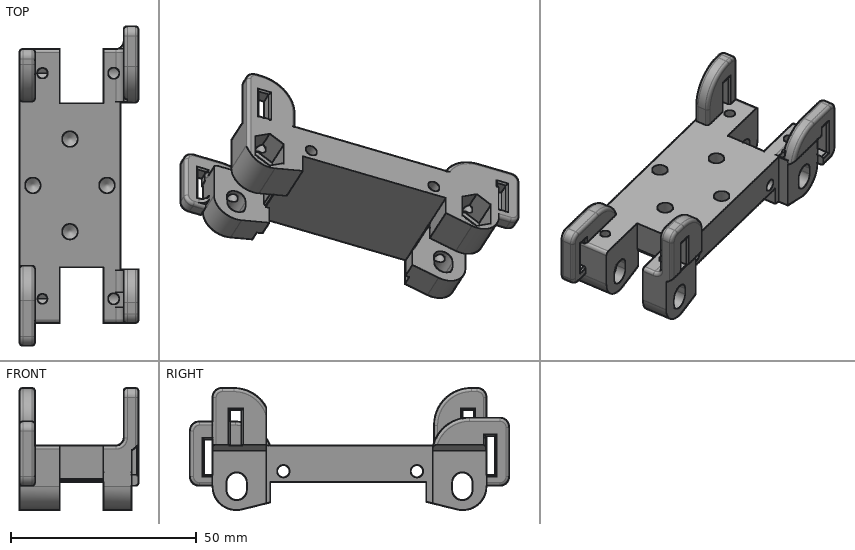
import cadquery as cq
import math


length = 86.1
plate_width = 27.3
plate_top = 17.5
plate_bottom = 7.6
plate_center_y = 0.2
notch_half_span = 22.1
notch_left = 10.9
notch_right = 22.65
notch_relief_depth = 0.5
notch_relief_top = 8.5
top_edge_round = 0.95

mount_hole_diameter = 4.2
mount_hole_depth = 6.9
mount_spacing_x = 10.0
mount_spacing_y = 12.5
mount_center_x = 13.6
drill_tip_angle = 118.0
side_hole_diameter = 3.3
side_hole_half_span = 18.0
side_hole_z = 10.5

leg_out = 36.95
leg_round = 6.5
leg_right = 30.2
leg_bottom_slope = 14.0
leg_start_out = {1: 20.7, -1: 21.4}
flank_step_out = 22.4

bolt_out = 30.4
bolt_z = leg_round
bolt_stretch = 2.0
bolt_slot_width = 5.4
nut_across_flats = 8.35
nut_pocket_depth = 8.0
lock_hole_left_x = 6.2
lock_hole_right_x = 25.4
lock_hole_left_diameter = {1: 2.8, -1: 2.7}
lock_hole_right_diameter = 3.0

total_width = 32.1
total_height = 33.0
left_tab_thickness = 4.2
right_tab_inner = 28.1
tab_arc_radius = 10.1
tab_corner_radius = 2.6
tab_edge_round = 0.95
long_tab_bottom = 6.55
long_tab_slot_bottom = 9.0
long_tab_slot_inner = 36.2
long_tab_slot_outer = 39.7
tab_slot_rim = 0.5
tall_tab_slot_top = 27.5
tall_tab_slot_width = 4.0
tab_underside_low = 16.0
tab_underside_high = 17.65
root_fillet = 2.1
root_start_out = 22.7

tall_left_inner = 22.7
tall_left_slot = 31.95
tall_right_inner = 21.2
tall_right_slot = 30.7
long_left_inner = 20.75
long_left_top = 23.9
long_left_slot_top = 19.5
long_right_inner = 22.2
long_right_top = 25.0
long_right_slot_top = 20.4


def box(x0, x1, y0, y1, z0, z1):
    """Box between two opposite corners."""
    corner = cq.Workplane("XY", origin=(x0, y0, z0))
    return corner.box(x1 - x0, y1 - y0, z1 - z0, centered=False)


def side_sketch(x):
    """Workplane with local X along Y and local Y along Z, extruding toward +X."""
    return cq.Workplane("YZ", origin=(x, 0, 0))


def at_end(solid, end):
    """Place a solid drawn at the +Y end at the given end."""
    return solid if end > 0 else solid.mirror("XZ")


def make_plate():
    low_y = plate_center_y - notch_half_span
    high_y = plate_center_y + notch_half_span
    plate = box(0, plate_width, low_y, high_y, plate_bottom, plate_top)
    for floor_y, inward in ((low_y, 1), (high_y, -1)):
        relief = (
            side_sketch(notch_left)
            .moveTo(floor_y, notch_relief_top)
            .lineTo(floor_y + inward * notch_relief_depth, notch_relief_top - notch_relief_depth)
            .lineTo(floor_y + inward * notch_relief_depth, plate_bottom)
            .lineTo(floor_y, plate_bottom)
            .close()
            .extrude(notch_right - notch_left)
        )
        plate = plate.cut(relief)
    return plate


def make_leg(x0, x1, start_out):
    """Leg with a rounded outer foot and a tangent sloping underside."""
    slope = math.radians(leg_bottom_slope)
    center_out = leg_out - leg_round
    tangent_out = center_out - leg_round * math.sin(slope)
    tangent_z = leg_round * (1 - math.cos(slope))
    start_z = tangent_z + (tangent_out - start_out) * math.tan(slope)
    return (
        side_sketch(x0)
        .moveTo(start_out, plate_top)
        .lineTo(start_out, start_z)
        .lineTo(tangent_out, tangent_z)
        .radiusArc((leg_out, leg_round), -leg_round)
        .lineTo(leg_out, plate_top)
        .close()
        .extrude(x1 - x0)
        .edges(">Y and >Z")
        .fillet(top_edge_round)
    )


def make_tab(x0, x1, inner, outer, bottom, top):
    """Upright tab with a large arc on its inner shoulder and all outline edges rounded."""
    outline = (
        side_sketch(x0)
        .moveTo(inner, bottom)
        .lineTo(inner, top - tab_arc_radius)
        .radiusArc((inner + tab_arc_radius, top), tab_arc_radius)
        .lineTo(outer, top)
        .lineTo(outer, bottom)
        .close()
        .extrude(x1 - x0)
    )
    rounded = outline.edges("|X and >Y").fillet(tab_corner_radius)
    return rounded.faces("<X or >X").edges().fillet(tab_edge_round)


def make_strap_slot(x0, x1, y0, y1, z0, z1):
    """Cutter for a slot through a tab, flared at both faces."""
    rim = tab_slot_rim
    slot = box(x0, x1, y0 + rim, y1 - rim, z0 + rim, z1 - rim)
    for face_x, direction in ((x0, 1), (x1, -1)):
        flare = (
            side_sketch(face_x)
            .center((y0 + y1) / 2, (z0 + z1) / 2)
            .rect(y1 - y0, z1 - z0)
            .workplane(offset=direction * rim)
            .rect(y1 - y0 - 2 * rim, z1 - z0 - 2 * rim)
            .loft(combine=True)
        )
        slot = slot.union(flare)
    return slot


def make_long_tab(x0, x1, inner, top, slot_top):
    """Tab reaching past the leg, with its strap slot just outside the leg's end."""
    tab = make_tab(x0, x1, inner, length / 2, long_tab_bottom, top)
    slot = make_strap_slot(
        x0, x1, long_tab_slot_inner, long_tab_slot_outer, long_tab_slot_bottom, slot_top
    )
    return tab.cut(slot)


def make_right_root(start_out):
    """Block on the right leg's top that curves up into the tab, with a rounded outer end."""
    crest_z = plate_top + root_fillet
    block = (
        cq.Workplane("XZ", origin=(0, leg_out, 0))
        .moveTo(notch_right, plate_bottom)
        .lineTo(notch_right, plate_top)
        .lineTo(right_tab_inner - root_fillet, plate_top)
        .radiusArc((right_tab_inner, crest_z), -root_fillet)
        .lineTo(right_tab_inner + tab_edge_round, crest_z)
        .lineTo(right_tab_inner + tab_edge_round, plate_bottom)
        .close()
        .extrude(leg_out - start_out)
    )
    margin = 0.1
    end_rim = cq.selectors.BoxSelector(
        (notch_right, leg_out - margin, plate_top - margin),
        (right_tab_inner - margin, leg_out + margin, crest_z),
    )
    return block.edges(end_rim).fillet(top_edge_round)


def make_underside_cut(inner, outer):
    """Space below the overhanging part of a right tab, bounded above by a slope."""
    return (
        cq.Workplane("XZ", origin=(0, outer, 0))
        .moveTo(leg_right, 0)
        .lineTo(leg_right, tab_underside_low)
        .lineTo(total_width, tab_underside_high)
        .lineTo(total_width, 0)
        .close()
        .extrude(outer - inner)
    )


def make_tall_tab(x0, x1, inner, slot_center):
    """Tab standing above the leg; the leg fills the lower flare of its strap slot."""
    tab = make_tab(x0, x1, inner, leg_out, long_tab_bottom, total_height)
    half_width = tall_tab_slot_width / 2
    slot = make_strap_slot(
        x0,
        x1,
        slot_center - half_width,
        slot_center + half_width,
        plate_top - tab_slot_rim,
        tall_tab_slot_top,
    )
    return tab.cut(slot)


def make_left_end(end):
    leg = make_leg(0, notch_left, leg_start_out[end])
    if end > 0:
        tab = make_tall_tab(0, left_tab_thickness, tall_left_inner, tall_left_slot)
        leg = leg.cut(make_left_corner_cut())
    else:
        tab = make_long_tab(0, left_tab_thickness, long_left_inner, long_left_top, long_left_slot_top)
    return at_end(leg.union(tab), end)


def make_left_corner_cut():
    """Sliver outside the rounded upright corner of the +Y left leg."""
    corner = box(0, tab_edge_round, leg_out - tab_edge_round, leg_out, 0, plate_top)
    rounding = (
        cq.Workplane("XY")
        .center(tab_edge_round, leg_out - tab_edge_round)
        .circle(tab_edge_round)
        .extrude(plate_top)
    )
    return corner.cut(rounding)


def make_strip_root():
    """Concave upright fillet joining the end of the right leg to the long tab."""
    tab_x = right_tab_inner + tab_edge_round
    return (
        cq.Workplane("XY", origin=(0, 0, long_tab_bottom + tab_edge_round))
        .moveTo(right_tab_inner - root_fillet, leg_out)
        .radiusArc((right_tab_inner, leg_out + root_fillet), -root_fillet)
        .lineTo(tab_x, leg_out + root_fillet)
        .lineTo(tab_x, leg_out)
        .close()
        .extrude(long_tab_slot_bottom - long_tab_bottom - tab_edge_round)
    )


def make_right_end(end):
    leg = make_leg(notch_right, leg_right, leg_start_out[end])
    root = make_right_root(root_start_out)
    if end > 0:
        tab = make_long_tab(
            right_tab_inner, total_width, long_right_inner, long_right_top, long_right_slot_top
        )
        tab = tab.cut(make_underside_cut(long_right_inner, leg_out))
        tab = tab.union(make_strip_root())
    else:
        tab = make_tall_tab(right_tab_inner, total_width, tall_right_inner, tall_right_slot)
        tab = tab.cut(make_underside_cut(tall_right_inner, leg_out))
        gap_inner = tall_right_slot - tall_tab_slot_width / 2
        gap_outer = tall_right_slot + tall_tab_slot_width / 2
        root = root.cut(
            box(notch_right, total_width, gap_inner, gap_outer, plate_top, total_height)
        )
    return at_end(leg.union(root).union(tab), end)


def make_clearances():
    """Space under the plate between the legs, and beside its right flank between the tabs."""
    under = box(0, plate_width, -leg_start_out[-1], leg_start_out[1], 0, plate_bottom)
    beside = box(plate_width, total_width, -flank_step_out, flank_step_out, 0, total_height)
    return under.union(beside)


def make_mount_holes():
    """Blind drilled holes in a cross pattern, with conical bottoms."""
    radius = mount_hole_diameter / 2
    tip = radius / math.tan(math.radians(drill_tip_angle / 2))
    drill = (
        cq.Workplane("XZ")
        .moveTo(0, plate_top)
        .lineTo(radius, plate_top)
        .lineTo(radius, plate_top - mount_hole_depth)
        .lineTo(0, plate_top - mount_hole_depth - tip)
        .close()
        .revolve(360, (0, 0, 0), (0, 1, 0))
    )
    holes = cq.Workplane("XY")
    for dx, dy in (
        (mount_spacing_x, 0),
        (-mount_spacing_x, 0),
        (0, mount_spacing_y),
        (0, -mount_spacing_y),
    ):
        holes = holes.add(drill.translate((mount_center_x + dx, plate_center_y + dy, 0)))
    return holes.combine()


def make_side_holes():
    return (
        side_sketch(0)
        .pushPoints(
            [(plate_center_y + side * side_hole_half_span, side_hole_z) for side in (-1, 1)]
        )
        .circle(side_hole_diameter / 2)
        .extrude(plate_width)
    )


def make_bolt_cut(end):
    """Upright bolt slot, stretched hexagonal nut pocket and vertical holes into both."""
    y = end * bolt_out
    slot = (
        side_sketch(0)
        .center(y, bolt_z)
        .slot2D(bolt_slot_width + bolt_stretch, bolt_slot_width, 90)
        .extrude(total_width)
    )
    half_flats = nut_across_flats / 2
    half_corner = math.radians(30)
    shoulder = half_flats * math.tan(half_corner) + bolt_stretch / 2
    point = half_flats / math.cos(half_corner) + bolt_stretch / 2
    pocket = (
        side_sketch(0)
        .center(y, bolt_z)
        .polyline(
            [
                (0, point),
                (half_flats, shoulder),
                (half_flats, -shoulder),
                (0, -point),
                (-half_flats, -shoulder),
                (-half_flats, shoulder),
            ]
        )
        .close()
        .extrude(nut_pocket_depth)
    )
    cut = slot.union(pocket)
    for x, diameter in (
        (lock_hole_left_x, lock_hole_left_diameter[end]),
        (lock_hole_right_x, lock_hole_right_diameter),
    ):
        hole = cq.Workplane("XY", origin=(x, y, bolt_z)).circle(diameter / 2)
        cut = cut.union(hole.extrude(plate_top + root_fillet - bolt_z))
    return cut


result = make_plate()
for end in (1, -1):
    result = result.union(make_left_end(end)).union(make_right_end(end))
result = result.cut(make_clearances()).cut(make_mount_holes()).cut(make_side_holes())
for end in (1, -1):
    result = result.cut(make_bolt_cut(end))